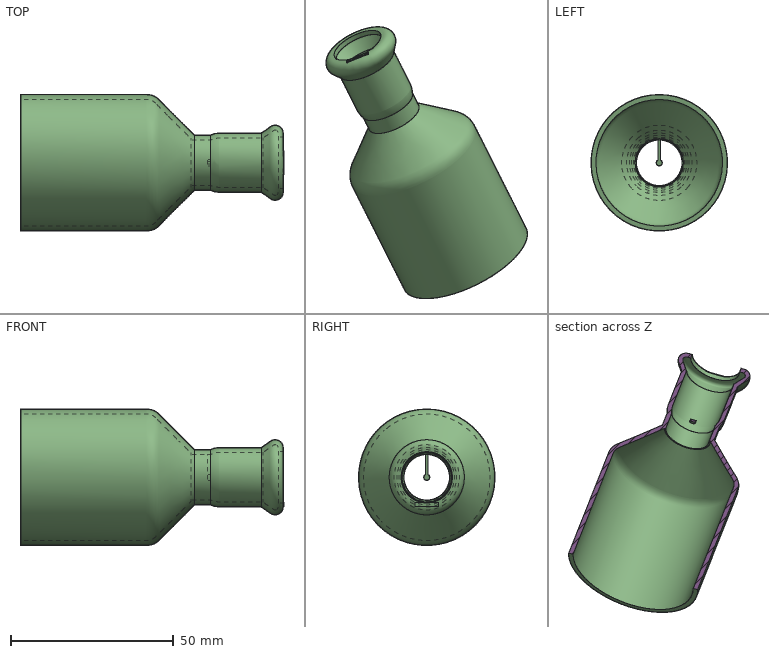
import cadquery as cq
import math


total_length = 81.0
pad_height = 0.2
mouth_x = total_length - pad_height
wall = 1.5

pipe_radius = 42.0 / 2
pipe_length = 38.9
pipe_bore_radius = pipe_radius - wall
shoulder_radius = 5.2
cone_angle = math.radians(45)

neck_radius = 17.0 / 2
neck_bore_radius = 14.0 / 2
cone_bore_end_radius = 7.41
neck_end_x = 58.4
socket_radius = 18.3 / 2
socket_bore_radius = socket_radius - wall
socket_start_x = 61.1

flare_angle = math.radians(35)
bead_crest_radius = 11.6
bead_round = 2.5
bead_center_radius = bead_crest_radius - bead_round
bead_center_x = mouth_x - bead_round
mouth_bore_radius = 15.8 / 2

pad_width = 7.3
pad_bottom_z = -9.0
pad_top_z = -7.8

flag_thickness = 0.9
flag_disc_diameter = 1.9
flag_bar_width = 0.9
flag_x = neck_end_x - flag_thickness


def arc_point(center_x, center_radius, round_radius, angle):
    """Point of an arc, with the angle measured from the crest towards the mouth."""
    return (
        center_x + round_radius * math.sin(angle),
        center_radius + round_radius * math.cos(angle),
    )


def add_pipe_and_cone(profile, pipe_r, shoulder_r, cone_end_r, neck_r):
    """Draw the pipe, its rounded shoulder and the cone; shoulder arcs share one center."""
    center = (pipe_length, pipe_radius - shoulder_radius)
    middle = arc_point(*center, shoulder_r, cone_angle / 2)
    cone_start = arc_point(*center, shoulder_r, cone_angle)
    cone_end_x = cone_start[0] + (cone_start[1] - cone_end_r) / math.tan(cone_angle)
    profile = (
        profile.moveTo(0, pipe_r)
        .lineTo(pipe_length, pipe_r)
        .threePointArc(middle, cone_start)
        .lineTo(cone_end_x, cone_end_r)
    )
    if cone_end_r > neck_r:
        profile = profile.lineTo(cone_end_x, neck_r)
    return profile


def add_neck_and_bead(profile, neck_r, socket_r, bead_r):
    """Continue from the cone along the neck, the socket, the flare and the bead."""
    center = (bead_center_x, bead_center_radius)
    flare_end = arc_point(*center, bead_r, -flare_angle)
    bead_middle = arc_point(*center, bead_r, math.pi / 4)
    bead_end = arc_point(*center, bead_r, math.pi / 2)
    flare_start_x = flare_end[0] - (flare_end[1] - socket_r) / math.tan(flare_angle)

    run = socket_start_x - neck_end_x
    rise = socket_r - neck_r
    swell_radius = (run**2 + rise**2) / (2 * rise)
    swell_middle = arc_point(
        socket_start_x, socket_r - swell_radius, swell_radius, -math.asin(run / swell_radius) / 2
    )
    return (
        profile.lineTo(neck_end_x, neck_r)
        .threePointArc(swell_middle, (socket_start_x, socket_r))
        .lineTo(flare_start_x, socket_r)
        .lineTo(*flare_end)
        .threePointArc(bead_middle, bead_end)
    )


def turned(profile):
    """Close a profile along the axis and turn it about X."""
    return profile.lineTo(mouth_x, 0).lineTo(0, 0).close().revolve(360, (0, 0, 0), (1, 0, 0))


def formed_shape(pipe_r, shoulder_r, cone_end_r, neck_r, socket_r, bead_r, lip_r=None):
    """Solid of revolution of the fitting's outside, or of its bore when lip_r is given."""
    profile = add_pipe_and_cone(cq.Workplane("XZ"), pipe_r, shoulder_r, cone_end_r, neck_r)
    profile = add_neck_and_bead(profile, neck_r, socket_r, bead_r)
    if lip_r is not None:
        groove_end_x = bead_center_x + bead_r
        profile = profile.lineTo(groove_end_x, lip_r).lineTo(mouth_x, lip_r)
    return turned(profile)


def make_fitting():
    outside = formed_shape(
        pipe_radius, shoulder_radius, neck_radius, neck_radius, socket_radius, bead_round
    )
    bore = formed_shape(
        pipe_bore_radius,
        shoulder_radius - wall,
        cone_bore_end_radius,
        neck_bore_radius,
        socket_bore_radius,
        bead_round - wall,
        mouth_bore_radius,
    )
    pad = (
        cq.Workplane("YZ", origin=(mouth_x - wall / 2, 0, 0))
        .center(0, (pad_bottom_z + pad_top_z) / 2)
        .rect(pad_width, pad_top_z - pad_bottom_z)
        .extrude(wall / 2 + pad_height)
    )
    return outside.cut(bore).union(pad.cut(bore))


def make_flag():
    plane = cq.Workplane("YZ", origin=(flag_x, 0, 0))
    disc = plane.circle(flag_disc_diameter / 2).extrude(flag_thickness)
    bar = (
        plane.center(0, neck_radius / 2)
        .rect(flag_bar_width, neck_radius)
        .extrude(flag_thickness)
    )
    bore = plane.circle(neck_bore_radius).extrude(flag_thickness)
    return disc.union(bar.intersect(bore))


fitting = make_fitting()
flag = make_flag()
result = cq.Compound.makeCompound([fitting.solids().val(), flag.solids().val()])